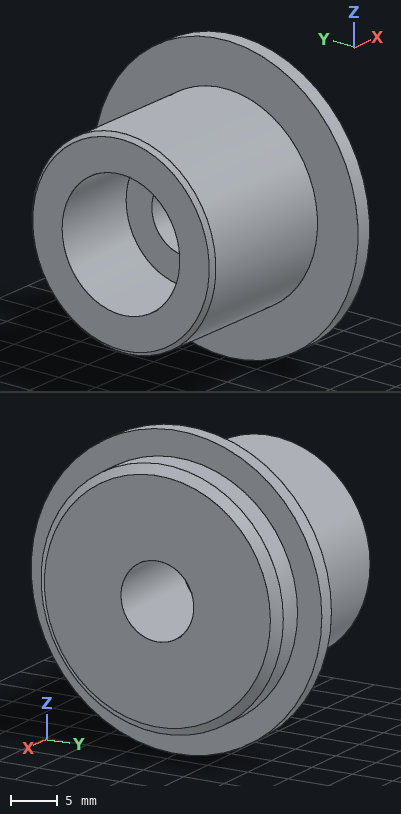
import cadquery as cq

total_length = 24.0
sleeve_length = 18.0
flange_thickness = 2.0
spigot_length = total_length - sleeve_length - flange_thickness

flange_diameter = 36.0
spigot_diameter = 30.0
sleeve_diameter = 25.0
bore_diameter = 16.0
through_hole_diameter = 9.0

bore_depth = 11.0

sleeve_chamfer = 0.5
spigot_chamfer = 1.0


def cylinder_along_x(diameter, start, length):
    """Solid cylinder on the X axis, running from start towards +X."""
    return cq.Workplane("YZ", origin=(start, 0, 0)).circle(diameter / 2).extrude(length)


sleeve = cylinder_along_x(sleeve_diameter, 0, sleeve_length).faces("<X").chamfer(sleeve_chamfer)
flange = cylinder_along_x(flange_diameter, sleeve_length, flange_thickness)
spigot = cylinder_along_x(spigot_diameter, sleeve_length + flange_thickness, spigot_length)
spigot = spigot.faces(">X").chamfer(spigot_chamfer)
body = sleeve.union(flange).union(spigot)

bore = cylinder_along_x(bore_diameter, 0, bore_depth)
through_hole = cylinder_along_x(through_hole_diameter, 0, total_length)

result = body.cut(bore).cut(through_hole)